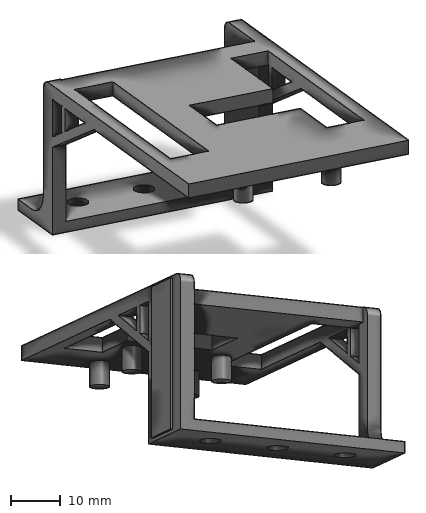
import cadquery as cq
import math

length = 74.0
width = 50.0
height = 32.5

side_wall = 3.0
top_plate = 3.0
floor = 2.4

foot_length = 15.0
post_front = 11.1
top_radius = 2.0
heel_radius = 5.0

brace_angle = 30.0
brace_reach = 18.0
brace_thickness = 2.0
strut_start = 19.0
strut_thickness = 1.5

slot_start = 18.9
slot_end = 60.4
slot_width = 8.65
rear_slot_width = 8.4
stem_start = 37.1
stem_end = 48.9
stem_bottom = 19.5

hole_diameter = 4.3
hole_x = 7.0
hole_pitch = 15.0

pin_diameter = 4.0
pin_length = 4.95
pin_first_x = 54.0
pin_pitch_x = 15.0
pin_pitch_y = 20.0

panel_height = 0.45
panel_start = 3.85
panel_end = 12.7
panel_bottom = 0.75
panel_top = 32.0

middle_y = width / 2
plate_bottom = height - top_plate
rear_wall_y = width - side_wall
plate_start = post_front + top_radius


def box(x0, x1, y0, y1, z0, z1):
    """Box between two opposite corners."""
    return cq.Workplane("XY").box(x1 - x0, y1 - y0, z1 - z0, centered=False).translate((x0, y0, z0))


def side_sketch(y):
    """XZ plane at the given Y; a positive extrusion runs toward -Y."""
    return cq.Workplane("XZ", origin=(0, y, 0))


def front_side():
    """-Y side frame: foot, set-back upright and top rail in one outline."""
    diagonal = math.sqrt(0.5)
    heel_center = (post_front - heel_radius, floor + heel_radius)
    heel_mid = (heel_center[0] + heel_radius * diagonal, heel_center[1] - heel_radius * diagonal)
    top_mid = (plate_start - top_radius * diagonal, height - top_radius * (1 - diagonal))
    return (
        side_sketch(side_wall)
        .moveTo(0, 0)
        .lineTo(foot_length, 0)
        .lineTo(foot_length, plate_bottom)
        .lineTo(length, plate_bottom)
        .lineTo(length, height)
        .lineTo(plate_start, height)
        .threePointArc(top_mid, (post_front, height - top_radius))
        .lineTo(post_front, heel_center[1])
        .threePointArc(heel_mid, (heel_center[0], floor))
        .lineTo(0, floor)
        .close()
        .extrude(side_wall)
    )


def rear_side():
    """+Y side frame: full wall over the floor with a rounded front top corner."""
    wall = box(0, foot_length, rear_wall_y, width, 0, height)
    wall = wall.edges("|Y and <X and >Z").fillet(top_radius)
    panel = box(panel_start, panel_end, width, width + panel_height, panel_bottom, panel_top)
    return wall.union(panel)


def brace(outer_y):
    """Diagonal bar with a vertical strut, as wide as the side wall; outer_y is its +Y face."""
    slope = math.tan(math.radians(brace_angle))
    rise = brace_thickness / math.cos(math.radians(brace_angle))
    bottom = plate_bottom - brace_reach * slope
    bar = (
        side_sketch(outer_y)
        .polyline([
            (foot_length, bottom),
            (foot_length + brace_reach, plate_bottom),
            (foot_length + brace_reach - rise / slope, plate_bottom),
            (foot_length, bottom + rise),
        ])
        .close()
        .extrude(side_wall)
    )
    strut_end = strut_start + strut_thickness
    strut_bottom = bottom + (strut_end - foot_length) * slope
    strut = box(strut_start, strut_end, outer_y - side_wall, outer_y, strut_bottom, plate_bottom)
    return bar.union(strut)


def plate_openings():
    """Front slot and T-shaped rear opening, both along the inside of the side walls."""
    front_slot = box(slot_start, slot_end, side_wall, side_wall + slot_width, plate_bottom, height)
    rear_slot = box(slot_start, slot_end, rear_wall_y - rear_slot_width, rear_wall_y, plate_bottom, height)
    stem = box(stem_start, stem_end, stem_bottom, rear_wall_y, plate_bottom, height)
    return front_slot.union(rear_slot).union(stem)


def floor_holes():
    """Row of three through holes, centred across the floor."""
    return (
        cq.Workplane("XY")
        .pushPoints([(hole_x, middle_y + step * hole_pitch) for step in (-1, 0, 1)])
        .circle(hole_diameter / 2)
        .extrude(floor)
    )


def pins():
    """Two by two pattern of pins, rooted in the top plate."""
    return (
        cq.Workplane("XY", origin=(pin_first_x + pin_pitch_x / 2, middle_y, plate_bottom - pin_length))
        .rarray(pin_pitch_x, pin_pitch_y, 2, 2)
        .circle(pin_diameter / 2)
        .extrude(pin_length + top_plate)
    )


base = box(0, foot_length, 0, width, 0, floor).cut(floor_holes())
plate = box(plate_start, length, 0, width, plate_bottom, height).cut(plate_openings())

result = base.union(plate).union(front_side()).union(rear_side()).union(pins())
for outer_y in (side_wall, width):
    result = result.union(brace(outer_y))